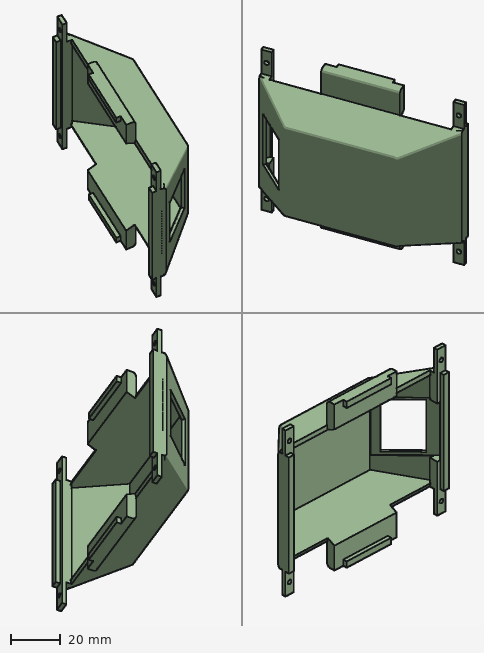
import cadquery as cq
import math

LENGTH = 90.0
DEPTH = 26.3
HEIGHT = 80.0

SHELL_HEIGHT = 56.0
RIM_Y = 6.3
WALL = 2.0
END_SLOPE = math.radians(45.0)
SIDE_SLOPE = math.radians(15.4)
SHELL_FILLET = 2.0

SEAT_Y = 2.0
RAIL_WIDTH = 4.7
LIP_WIDTH = 3.0
EAR_THICKNESS = 2.0
EAR_HOLE_DIAMETER = 2.0

TAB_LENGTH = 35.0
TAB_LIP_LENGTH = 25.0
TAB_LIP_HEIGHT = 3.1
TAB_FILLET = 2.0

RECESS_SIZE = 28.0
RECESS_DEPTH = 0.5
RECESS_START = 0.3
RECESS_REACH = 7.2
WINDOW_LENGTH = 18.4
WINDOW_HEIGHT = 25.1
WINDOW_START = 4.2

HALF_LENGTH = LENGTH / 2
HALF_HEIGHT = HEIGHT / 2
HALF_SHELL = SHELL_HEIGHT / 2
RAIL_X = HALF_LENGTH - RAIL_WIDTH
INNER_BACK_Y = DEPTH - WALL
INNER_RIM_Y = RIM_Y - WALL * math.sin(SIDE_SLOPE)
INNER_RIM_Z = HALF_SHELL - WALL * math.cos(SIDE_SLOPE)


def box_between(x_range, y_range, z_range):
    """Box spanning the given (low, high) range on each axis."""
    sizes = [high - low for low, high in (x_range, y_range, z_range)]
    corner = (x_range[0], y_range[0], z_range[0])
    return cq.Workplane("XY").box(*sizes, centered=False).translate(corner)


def mirrored_pair(shape, plane):
    return shape.union(shape.mirror(plane))


def tapered_block(inset, back_y):
    """Block from Y = 0 to back_y between the sloping walls, each moved inwards by inset."""
    rim_x = HALF_LENGTH - inset / math.cos(END_SLOPE)
    rim_z = HALF_SHELL - inset / math.cos(SIDE_SLOPE)
    front_x = rim_x + RIM_Y * math.tan(END_SLOPE)
    front_z = rim_z + RIM_Y * math.tan(SIDE_SLOPE)
    back_x = front_x - back_y * math.tan(END_SLOPE)
    back_z = front_z - back_y * math.tan(SIDE_SLOPE)
    length_profile = (
        cq.Workplane("XY")
        .polyline([(-front_x, 0), (front_x, 0), (back_x, back_y), (-back_x, back_y)])
        .close()
        .extrude(front_z, both=True)
    )
    height_profile = (
        cq.Workplane("YZ")
        .polyline([(0, -front_z), (0, front_z), (back_y, back_z), (back_y, -back_z)])
        .close()
        .extrude(front_x, both=True)
    )
    return length_profile.intersect(height_profile)


def make_shell(envelope):
    """Hollow shell whose long rims are square to the sloping side walls."""
    rim_trim = (
        cq.Workplane("YZ")
        .polyline(
            [
                (INNER_RIM_Y, -INNER_RIM_Z),
                (RIM_Y, -HALF_SHELL),
                (DEPTH, -HALF_SHELL),
                (DEPTH, HALF_SHELL),
                (RIM_Y, HALF_SHELL),
                (INNER_RIM_Y, INNER_RIM_Z),
            ]
        )
        .close()
        .extrude(HALF_LENGTH, both=True)
    )
    return envelope.intersect(rim_trim).cut(tapered_block(WALL, INNER_BACK_Y))


def make_rail(envelope):
    """Rail at the +X end with its lip and its two drilled ears."""
    rail_x = (RAIL_X, HALF_LENGTH)
    lip_x = (HALF_LENGTH - LIP_WIDTH, HALF_LENGTH)
    shell_z = (-HALF_SHELL, HALF_SHELL)
    bar = box_between(rail_x, (SEAT_Y, RIM_Y), shell_z).intersect(envelope)
    lip = box_between(lip_x, (0, SEAT_Y), shell_z)
    ears = box_between(rail_x, (SEAT_Y, SEAT_Y + EAR_THICKNESS), (-HALF_HEIGHT, HALF_HEIGHT))
    hole_x = (RAIL_X + HALF_LENGTH) / 2
    hole_z = (HALF_SHELL + HALF_HEIGHT) / 2
    holes = (
        cq.Workplane("XZ")
        .pushPoints([(hole_x, -hole_z), (hole_x, hole_z)])
        .circle(EAR_HOLE_DIAMETER / 2)
        .extrude(-RIM_Y)
    )
    return bar.union(lip).union(ears).cut(holes)


def make_tab():
    """Tab on the +Z rim, with a bevel down to the inner rim and a lip along its outer edge."""
    tab = (
        cq.Workplane("YZ")
        .polyline(
            [
                (SEAT_Y, HALF_SHELL),
                (SEAT_Y, HALF_HEIGHT),
                (RIM_Y, HALF_HEIGHT),
                (RIM_Y, HALF_SHELL),
                (INNER_RIM_Y, INNER_RIM_Z),
            ]
        )
        .close()
        .extrude(TAB_LENGTH / 2, both=True)
    )
    tab = tab.faces(">Z").edges(">Y").fillet(TAB_FILLET)
    half_lip = TAB_LIP_LENGTH / 2
    lip = box_between((-half_lip, half_lip), (0, SEAT_Y), (HALF_HEIGHT - TAB_LIP_HEIGHT, HALF_HEIGHT))
    return tab.union(lip)


def end_wall_plane():
    """Plane on the inner +X wall: origin at its back corner, local x towards the rail, normal outwards."""
    corner_x = HALF_LENGTH - WALL / math.cos(END_SLOPE) - (INNER_BACK_Y - RIM_Y) * math.tan(END_SLOPE)
    return cq.Plane(
        origin=(corner_x, INNER_BACK_Y, 0),
        xDir=(math.sin(END_SLOPE), -math.cos(END_SLOPE), 0),
        normal=(math.cos(END_SLOPE), math.sin(END_SLOPE), 0),
    )


def make_recess_cutter():
    return (
        cq.Workplane(end_wall_plane())
        .workplane(offset=RECESS_DEPTH)
        .center(RECESS_START + RECESS_SIZE / 2, 0)
        .rect(RECESS_SIZE, RECESS_SIZE)
        .extrude(-RECESS_REACH)
    )


def make_window_cutter():
    return (
        cq.Workplane(end_wall_plane())
        .center(WINDOW_START + WINDOW_LENGTH / 2, 0)
        .rect(WINDOW_LENGTH, WINDOW_HEIGHT)
        .extrude(2 * WALL)
    )


def make_housing():
    envelope = tapered_block(0, DEPTH).edges("not <Y").fillet(SHELL_FILLET)
    rails = mirrored_pair(make_rail(envelope), "YZ")
    tabs = mirrored_pair(make_tab(), "XY")
    housing = make_shell(envelope).union(rails).union(tabs)
    return housing.cut(make_recess_cutter()).cut(make_window_cutter()).solids()


housing = make_housing()
result = cq.Compound.makeCompound([housing.val()])